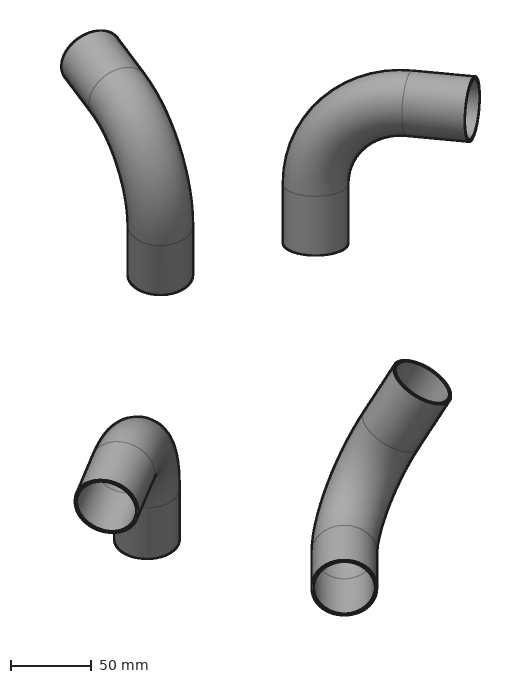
import cadquery as cq

overall_size = 120.5
outer_diameter = 41.0
inner_diameter = 38.0
collar_length = 40.0

bend_radius = overall_size - collar_length - outer_diameter / 2
bend_angle = 90


def ring(workplane):
    """Pipe cross-section centred on the given workplane."""
    return workplane.circle(outer_diameter / 2).circle(inner_diameter / 2)


upper_end = cq.Workplane("YZ", origin=(0, 0, bend_radius))
upper_collar = ring(upper_end).extrude(-collar_length)

lower_end = cq.Workplane("XY", origin=(bend_radius, 0, 0))
lower_collar = ring(lower_end).extrude(-collar_length)

bend = ring(lower_end).revolve(bend_angle, (-bend_radius, 0, 0), (-bend_radius, -1, 0))

result = upper_collar.union(bend).union(lower_collar)